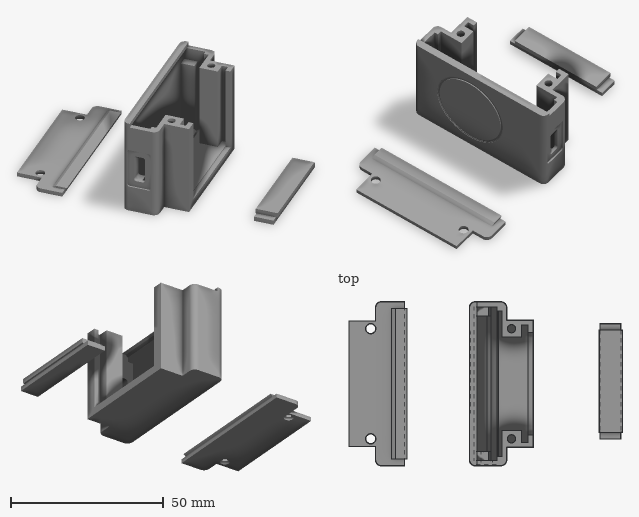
import cadquery as cq

case_length = 53.8
corner_radius = 2.1
cover_thickness = 1.4
ridge_height = 0.7
ridge_overhang = 0.8
screw_offset_y = 18.0

cover_step_x = 8.7
cover_edge_x = 18.3
cover_tongue_width = 41.2
cover_hole_x = 7.2
cover_hole_diameter = 3.2
ridge_foot_x = 13.9
ridge_crest_x = 15.2
ridge_length = 49.3

front_x = 39.45
main_depth = 12.3
rear_depth = 21.0
rear_width = 41.6
lip_thickness = 2.5
total_height = 33.6
wall = 1.6
end_wall = 1.7
rear_wall = 1.7

main_back_x = front_x + main_depth
rear_x = front_x + rear_depth
lip_x = front_x + lip_thickness
body_height = total_height - cover_thickness

floor = 1.6
inner_front_x = front_x + wall
inner_back_x = main_back_x - wall
inner_length = case_length - 2 * end_wall
shoulder_x = 48.5
shoulder_gap = 47.7
ear_gap = 30.75
slot_front_x = 56.6
slot_back_x = rear_x - rear_wall
slot_length = 38.4
opening_width = 33.7
sill_height = 2.7
rear_floor = 3.0
rear_floor_slope = 0.45

rest_x = 46.5
rest_slope = 1.35
rest_height = 2.0
rest_drop = 0.8
post_x = 45.7
post_length = 3.0
post_top = 27.8
ramp_height = 0.34

screw_x = 53.3
screw_diameter = 2.7
screw_depth = 13.45
port_x = 45.2
port_z = 16.3
port_width = 3.9
port_height = 9.5
port_radius = 0.8
recess_width = 8.25
recess_height = 14.1
recess_radius = 0.7
recess_depth = 0.5
ring_y = 3.8
ring_outer_diameter = 27.0
ring_step_diameter = 26.4
ring_inner_diameter = 25.0
ring_depth = 0.4
ring_step_depth = 0.2

slider_y = 0.8
slider_front_x = 81.95
slider_back_x = 89.7
slider_length = 33.4
slider_height = 3.3
flange_front_x = 82.2
flange_back_x = 89.0
flange_length = 37.8
flange_thickness = 1.6


def block(x_range, y_range, z_range):
    """Box between two X, two Y and two Z positions."""
    starts, ends = zip(x_range, y_range, z_range)
    sizes = [end - start for start, end in zip(starts, ends)]
    return cq.Workplane("XY").box(*sizes, centered=False).translate(starts)


def centred_block(x_range, length, z_range, middle_y=0.0):
    """Box of a given Y length about middle_y."""
    return block(x_range, (middle_y - length / 2, middle_y + length / 2), z_range)


def y_prism(points, length, middle_y=0.0):
    """Prism along Y with an outline given as (X, Z) points."""
    prism = cq.Workplane("XZ").polyline(points).close().extrude(length / 2, both=True)
    return prism.translate((0, middle_y, 0))


def screw_cylinders(x, diameter, bottom, height):
    """The pair of cylinders on the screw axes."""
    centres = [(x, -screw_offset_y), (x, screw_offset_y)]
    return (
        cq.Workplane("XY", origin=(0, 0, bottom))
        .pushPoints(centres)
        .circle(diameter / 2)
        .extrude(height)
    )


def make_cover():
    wide = centred_block((cover_step_x, cover_edge_x), case_length, (0, cover_thickness))
    wide = wide.edges("|Z and <X").fillet(corner_radius)
    tongue = centred_block((0, ridge_foot_x), cover_tongue_width, (0, cover_thickness))
    ridge_top = cover_thickness + ridge_height
    ridge = y_prism(
        [
            (ridge_foot_x, cover_thickness),
            (cover_edge_x, cover_thickness),
            (cover_edge_x + ridge_overhang, ridge_top),
            (ridge_crest_x, ridge_top),
        ],
        ridge_length,
    )
    holes = screw_cylinders(cover_hole_x, cover_hole_diameter, 0, cover_thickness)
    return wide.union(tongue).union(ridge).cut(holes)


def housing_shell():
    """Outer shape: the wide part, the ears' block and the lip along the front."""
    main = centred_block((front_x, main_back_x), case_length, (0, total_height))
    main = main.edges("|Z").fillet(corner_radius)
    cover_seat = centred_block((lip_x, main_back_x), case_length, (body_height, total_height))
    rear = centred_block((inner_back_x, rear_x), rear_width, (0, body_height))
    return main.cut(cover_seat).union(rear)


def housing_cavity():
    """Everything hollow inside the housing, open at the top."""
    board_space = y_prism(
        [
            (inner_front_x, floor),
            (shoulder_x, floor),
            (shoulder_x, body_height),
            (lip_x, body_height),
            (inner_front_x, body_height - ridge_height),
        ],
        inner_length,
    )
    behind_board = y_prism(
        [
            (shoulder_x, floor),
            (shoulder_x + rear_floor_slope, rear_floor),
            (inner_back_x, rear_floor),
            (inner_back_x, body_height),
            (shoulder_x, body_height),
        ],
        shoulder_gap,
    )
    rear_heights = (rear_floor, body_height)
    between_ears = centred_block((inner_back_x, slot_back_x), ear_gap, rear_heights)
    slider_slot = centred_block((slot_front_x, slot_back_x), slot_length, rear_heights)
    opening = centred_block((slot_back_x, rear_x), opening_width, (sill_height, body_height))
    return board_space.union(behind_board).union(between_ears).union(slider_slot).union(opening)


def board_supports():
    """Rest on the floor, with a post and a ramp at each end of it."""
    rest_top = floor + rest_height
    supports = y_prism(
        [
            (inner_front_x, floor),
            (rest_x, floor),
            (rest_x, rest_top - rest_drop),
            (rest_x - rest_slope, rest_top),
            (inner_front_x, rest_top),
        ],
        inner_length - 2 * post_length,
    )
    for side in (-1, 1):
        middle_y = side * (inner_length - post_length) / 2
        post = centred_block((inner_front_x, post_x), post_length, (floor, post_top), middle_y)
        supports = supports.union(post)
    return supports


def ramp_cuts():
    """Shallow wedges cut in the floor between each post and the board."""
    cuts = cq.Workplane("XY")
    for side in (-1, 1):
        middle_y = side * (inner_length - post_length) / 2
        outline = [(post_x, floor - ramp_height), (rest_x, floor), (post_x, floor)]
        cuts = cuts.add(y_prism(outline, post_length, middle_y))
    return cuts.combine()


def port_prism(width, height, radius, depth):
    """Rounded window sunk into the -Y end of the housing."""
    end_y = -case_length / 2
    window = centred_block((-width / 2, width / 2), 2 * depth, (-height / 2, height / 2))
    return window.edges("|Y").fillet(radius).translate((port_x, end_y, port_z))


def ring_disc(diameter, depth):
    """Disc about the ring's axis, sunk into the front face."""
    disc = cq.Workplane("YZ", origin=(front_x, ring_y, total_height / 2))
    return disc.circle(diameter / 2).extrude(depth)


def ring_groove():
    """Circular groove in the front face, with a shallow step along its outer side."""
    step = ring_disc(ring_outer_diameter, ring_step_depth)
    bottom = ring_disc(ring_step_diameter, ring_depth)
    return step.union(bottom).cut(ring_disc(ring_inner_diameter, ring_depth))


def make_housing():
    housing = housing_shell().cut(housing_cavity()).union(board_supports()).cut(ramp_cuts())
    screw_bottom = body_height - screw_depth
    housing = housing.cut(screw_cylinders(screw_x, screw_diameter, screw_bottom, screw_depth))
    housing = housing.cut(port_prism(recess_width, recess_height, recess_radius, recess_depth))
    port_depth = end_wall + post_length
    housing = housing.cut(port_prism(port_width, port_height, port_radius, port_depth))
    return housing.cut(ring_groove())


def make_slider():
    flange = centred_block(
        (flange_front_x, flange_back_x), flange_length, (0, flange_thickness), slider_y
    )
    panel = centred_block(
        (slider_front_x, slider_back_x), slider_length, (flange_thickness, slider_height), slider_y
    )
    return flange.union(panel)


cover = make_cover()
housing = make_housing()
slider = make_slider()

result = cq.Compound.makeCompound([cover.val(), housing.val(), slider.val()])